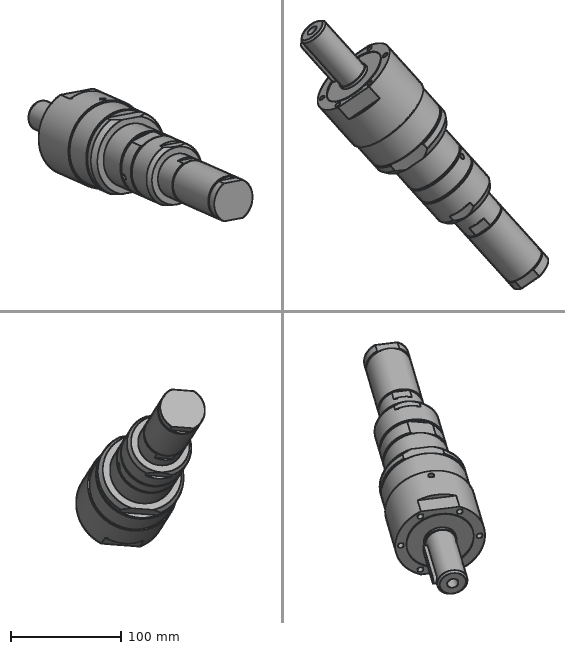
import cadquery as cq
import math

SHAFT_END = 59.2
FLANGE_FACE = 61.2
FLANGE_FLATS_END = 77.0
FLANGE_END = 110.8
HOUSING_END = 138.8
HOUSING_NUT_CONE = 146.0
HOUSING_NUT_END = 151.7
LOCK_RING_START = 180.3
LOCK_RING_END = 197.7
COLLET_FLATS_START = 218.0
COLLET_CONE = 223.0
COLLET_END = 228.0
NECK_FLATS_START = 242.5
NECK_FLATS_END = 252.5
SPINDLE_FLATS_START = 312.5
LENGTH = 322.0

SHAFT_DIA = 28.0
COLLAR_DIA = 30.0
FLANGE_DIA = 83.0
HOUSING_DIA = 80.0
BARREL_DIA = 60.0
SPINDLE_DIA = 41.5

FLANGE_FLATS = 75.0
HOUSING_NUT_FLATS = 70.5
COLLET_FLATS = 55.0
NECK_FLATS = 38.0
SPINDLE_FLATS = 36.0

LOCK_RING_FLAT_HEIGHT = 27.5

LOCK_RING_TURN = 15.0
CONE_ANGLE = 30.0
SHAFT_CHAMFER = 2.0
JOINT_CHAMFER = 1.0
SPINDLE_JOINT_CHAMFER = 0.5

KEY_START = 4.8
KEY_LENGTH = 50.0
KEY_WIDTH = 8.0
KEY_TOP = 17.0

RECESS_DIA = 62.0
RECESS_DEPTH = 1.0
DRILL_POINT = 118.0
BOLT_COUNT = 6
BOLT_CIRCLE_DIA = 72.8
BOLT_HOLE_DIA = 5.5
BOLT_HOLE_DEPTH = 9.5
CENTER_HOLE_DIA = 10.3
CENTER_HOLE_DEPTH = 16.0
RADIAL_HOLE_DIA = 5.5
RADIAL_HOLE_DEPTH = 6.5
FLANGE_HOLE_X = 104.5
LOCK_RING_HOLE_X = 184.2


def joint(x, radius, chamfer):
    """Profile points of a V groove centred at x."""
    return [(x - chamfer, radius), (x, radius - chamfer), (x + chamfer, radius)]


def turned_body():
    """Revolve the stepped outline about X."""
    shaft_r = SHAFT_DIA / 2
    collar_r = COLLAR_DIA / 2
    flange_r = FLANGE_DIA / 2
    housing_r = HOUSING_DIA / 2
    barrel_r = BARREL_DIA / 2
    spindle_r = SPINDLE_DIA / 2
    cone_slope = math.tan(math.radians(CONE_ANGLE))
    nut_end_r = housing_r - (HOUSING_NUT_END - HOUSING_NUT_CONE) * cone_slope
    collet_end_r = barrel_r - (COLLET_END - COLLET_CONE) * cone_slope
    outline = [
        (0, 0),
        (0, shaft_r - SHAFT_CHAMFER),
        (SHAFT_CHAMFER, shaft_r),
        (SHAFT_END, shaft_r),
        (SHAFT_END, collar_r),
        (FLANGE_FACE + RECESS_DEPTH, collar_r),
        (FLANGE_FACE + RECESS_DEPTH, RECESS_DIA / 2),
        (FLANGE_FACE, RECESS_DIA / 2),
        (FLANGE_FACE, flange_r),
        (FLANGE_END, flange_r),
        (FLANGE_END, housing_r),
        *joint(HOUSING_END, housing_r, JOINT_CHAMFER),
        (HOUSING_NUT_CONE, housing_r),
        (HOUSING_NUT_END, nut_end_r),
        (HOUSING_NUT_END, barrel_r),
        *joint(LOCK_RING_START, barrel_r, JOINT_CHAMFER),
        *joint(LOCK_RING_END, barrel_r, JOINT_CHAMFER),
        (COLLET_CONE, barrel_r),
        (COLLET_END, collet_end_r),
        (COLLET_END, spindle_r),
        *joint(NECK_FLATS_END, spindle_r, SPINDLE_JOINT_CHAMFER),
        *joint(SPINDLE_FLATS_START, spindle_r, SPINDLE_JOINT_CHAMFER),
        (LENGTH, spindle_r),
        (LENGTH, 0),
    ]
    return cq.Workplane("XY").polyline(outline).close().revolve(360, (0, 0, 0), (1, 0, 0))


def flat_cutter(x_start, x_end, height, turn=0.0):
    """Block that leaves a flat at the given height above the axis, turned about X from +Z."""
    return (
        cq.Workplane("XY")
        .box(x_end - x_start, FLANGE_DIA, FLANGE_DIA, centered=(False, True, False))
        .translate((x_start, 0, height))
        .rotate((0, 0, 0), (1, 0, 0), turn)
    )


def cut_flat_pair(body, x_start, x_end, across):
    """Cut two opposite flats facing +Z and -Z."""
    for turn in (0.0, 180.0):
        body = body.cut(flat_cutter(x_start, x_end, across / 2, turn))
    return body


def drilled_hole(origin, direction, diameter, depth):
    """Blind hole with a conical drill point, running from origin along direction."""
    radius = diameter / 2
    point_length = radius / math.tan(math.radians(DRILL_POINT / 2))
    start = cq.Vector(*origin)
    axis = cq.Vector(*direction)
    bore = cq.Solid.makeCylinder(radius, depth, start, axis)
    point = cq.Solid.makeCone(radius, 0, point_length, start + axis * depth, axis)
    return cq.Workplane(bore.fuse(point))


def shaft_key():
    """Round-ended key along the +Y side of the shaft."""
    return (
        cq.Workplane("XZ")
        .center(KEY_START + KEY_LENGTH / 2, 0)
        .slot2D(KEY_LENGTH, KEY_WIDTH)
        .extrude(-KEY_TOP)
    )


result = turned_body()

result = cut_flat_pair(result, FLANGE_FACE, FLANGE_FLATS_END, FLANGE_FLATS)
result = cut_flat_pair(result, HOUSING_END, HOUSING_NUT_END, HOUSING_NUT_FLATS)
result = result.cut(flat_cutter(LOCK_RING_START, LOCK_RING_END, LOCK_RING_FLAT_HEIGHT, LOCK_RING_TURN))
result = cut_flat_pair(result, COLLET_FLATS_START, COLLET_END, COLLET_FLATS)
result = cut_flat_pair(result, NECK_FLATS_START, NECK_FLATS_END, NECK_FLATS)
result = cut_flat_pair(result, SPINDLE_FLATS_START, LENGTH, SPINDLE_FLATS)

result = result.union(shaft_key())

result = result.cut(drilled_hole((0, 0, 0), (1, 0, 0), CENTER_HOLE_DIA, CENTER_HOLE_DEPTH))
for index in range(BOLT_COUNT):
    angle = 2 * math.pi * index / BOLT_COUNT
    bolt_y = BOLT_CIRCLE_DIA / 2 * math.cos(angle)
    bolt_z = BOLT_CIRCLE_DIA / 2 * math.sin(angle)
    bolt_start = (FLANGE_FACE, bolt_y, bolt_z)
    result = result.cut(drilled_hole(bolt_start, (1, 0, 0), BOLT_HOLE_DIA, BOLT_HOLE_DEPTH))

flange_start = (FLANGE_HOLE_X, 0, FLANGE_DIA / 2)
result = result.cut(drilled_hole(flange_start, (0, 0, -1), RADIAL_HOLE_DIA, RADIAL_HOLE_DEPTH))
turn = math.radians(LOCK_RING_TURN)
outward_y = -math.cos(turn)
outward_z = -math.sin(turn)
ring_start = (LOCK_RING_HOLE_X, BARREL_DIA / 2 * outward_y, BARREL_DIA / 2 * outward_z)
ring_inward = (0, -outward_y, -outward_z)
result = result.cut(drilled_hole(ring_start, ring_inward, RADIAL_HOLE_DIA, RADIAL_HOLE_DEPTH))